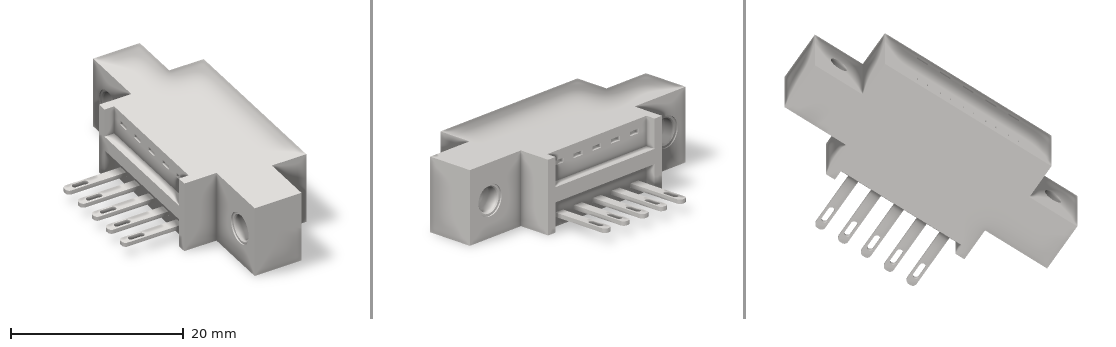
import cadquery as cq


LENGTH = 36.45
HEIGHT = 9.4
DEPTH = 15.27
FLANGE_FRONT = 4.35
FLANGE_BACK = 10.65
FRONT_LENGTH = 19.2
BACK_LENGTH = 23.15

RECESS_LENGTH = 16.75
RECESS_DEPTH = 1.3
WEB_HEIGHT = 1.9
RECESS_HEIGHT = (HEIGHT - WEB_HEIGHT) / 2

CONTACT_COUNT = 5
PITCH = 3.17
ROW_Z = 3.2
SLOT_WIDTH = 1.5
CONTACT_X = [(i - (CONTACT_COUNT - 1) / 2) * PITCH for i in range(CONTACT_COUNT)]

CONTACT_WIDTH = 1.28
CONTACT_THICKNESS = 0.55
CONTACT_REACH = 6.55
TIP_RADIUS = 0.5
EYE_WIDTH = 0.75
EYE_LENGTH = 2.1
EYE_TO_TIP = 1.0

BUSHING_X = 14.87
BUSHING_RADIUS = 2.0
BUSHING_RECESS = 0.2
BUSHING_LENGTH = FLANGE_BACK - FLANGE_FRONT - BUSHING_RECESS
MOUTH_RADIUS = 1.7
BORE_RADIUS = 1.55
BORE_DEPTH = 1.45
THROAT_RADIUS = 1.13
THROAT_DEPTH = BORE_DEPTH + BORE_RADIUS - THROAT_RADIUS
MOUTH_DEPTH = 0.15


def block(length, y_start, y_end, height=HEIGHT, z=0.0):
    """Box centred on X = 0 and on the given Z, between two Y positions."""
    depth = y_end - y_start
    return cq.Workplane("XY").box(length, depth, height).translate((0, y_start + depth / 2, z))


def make_housing():
    """Stepped block with contact recesses, slots and bushing holes."""
    body = block(FRONT_LENGTH, 0, FLANGE_FRONT)
    body = body.union(block(LENGTH, FLANGE_FRONT, FLANGE_BACK))
    body = body.union(block(BACK_LENGTH, FLANGE_BACK, DEPTH))

    for side in (1, -1):
        recess_z = side * (WEB_HEIGHT + RECESS_HEIGHT) / 2
        body = body.cut(block(RECESS_LENGTH, 0, RECESS_DEPTH, RECESS_HEIGHT, recess_z))
        for x in CONTACT_X:
            slot = block(SLOT_WIDTH, RECESS_DEPTH, DEPTH, CONTACT_THICKNESS, side * ROW_Z)
            body = body.cut(slot.translate((x, 0, 0)))
        hole = cq.Workplane("XZ").circle(BUSHING_RADIUS).extrude(FLANGE_FRONT - FLANGE_BACK)
        body = body.cut(hole.translate((side * BUSHING_X, FLANGE_FRONT, 0)))
    return body


def make_bushing(x):
    """Sleeve revolved about Y: chamfered mouth, wide bore, then a 45-degree step down to the throat."""
    profile = [
        (MOUTH_RADIUS, 0),
        (BUSHING_RADIUS, 0),
        (BUSHING_RADIUS, BUSHING_LENGTH),
        (THROAT_RADIUS, BUSHING_LENGTH),
        (THROAT_RADIUS, THROAT_DEPTH),
        (BORE_RADIUS, BORE_DEPTH),
        (BORE_RADIUS, MOUTH_DEPTH),
    ]
    sleeve = cq.Workplane("XY").polyline(profile).close().revolve(360, (0, 0), (0, 1))
    return sleeve.translate((x, FLANGE_FRONT + BUSHING_RECESS, 0))


def make_contact(x):
    """Flat strip in a lower slot, with a rounded tip and a solder eye."""
    strip = block(CONTACT_WIDTH, -CONTACT_REACH, DEPTH, CONTACT_THICKNESS)
    strip = strip.edges("|Z and <Y").fillet(TIP_RADIUS)
    eye = (
        cq.Workplane("XY")
        .center(0, -CONTACT_REACH + EYE_TO_TIP + EYE_LENGTH / 2)
        .slot2D(EYE_LENGTH, EYE_WIDTH, 90)
        .extrude(CONTACT_THICKNESS, both=True)
    )
    return strip.cut(eye).translate((x, 0, -ROW_Z))


housing = make_housing()
bushings = [make_bushing(side * BUSHING_X) for side in (-1, 1)]
contacts = [make_contact(x) for x in CONTACT_X]

result = cq.Compound.makeCompound(
    [housing.val()]
    + [bushing.val() for bushing in bushings]
    + [contact.val() for contact in contacts]
)